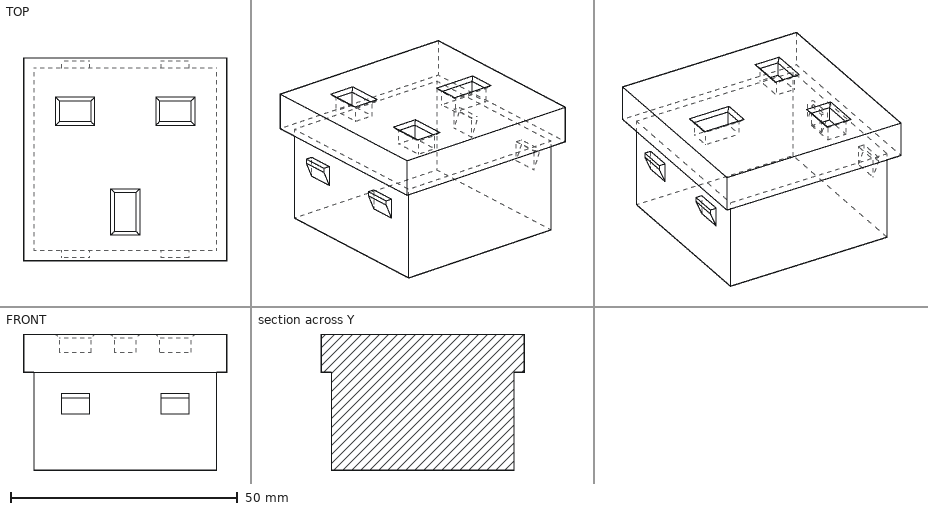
import cadquery as cq

overall_height = 30.0
plate_side = 44.8
plate_thickness = 8.4
body_side = 40.3
body_height = overall_height - plate_thickness

aperture_depth = 4.0
lead_in = 0.8
line_throat_length = 7.0
line_throat_width = 4.6
line_spacing = 22.1
line_y = 10.6
earth_throat_length = 8.6
earth_throat_width = 4.8
pin_row_spacing = 22.2
earth_y = line_y - pin_row_spacing

latch_width = 6.2
latch_spacing = 21.9
latch_projection = 1.5
latch_height = 4.6
latch_lip = 1.0
latch_top_z = 17.0


def make_housing():
    """Square body with the overhanging face plate on top."""
    body = cq.Workplane("XY").rect(body_side, body_side).extrude(body_height)
    plate = (
        cq.Workplane("XY")
        .workplane(offset=body_height)
        .rect(plate_side, plate_side)
        .extrude(plate_thickness)
    )
    return body.union(plate)


def make_aperture(center_x, center_y, size_x, size_y):
    """Blind rectangular pocket with a chamfered mouth, as a cutting solid."""
    throat = (
        cq.Workplane("XY", origin=(center_x, center_y, overall_height))
        .rect(size_x, size_y)
        .extrude(-aperture_depth)
    )
    mouth = (
        cq.Workplane("XY", origin=(center_x, center_y, overall_height))
        .rect(size_x + 2 * lead_in, size_y + 2 * lead_in)
        .workplane(offset=-lead_in)
        .rect(size_x, size_y)
        .loft(ruled=True)
    )
    return throat.union(mouth)


def make_latch(center_x, side):
    """Wedge with a flat top and short vertical lip; side is -1 or +1 along Y."""
    wall_y = side * body_side / 2
    tip_y = wall_y + side * latch_projection
    return (
        cq.Workplane("YZ", origin=(center_x, 0, 0))
        .moveTo(wall_y, latch_top_z)
        .lineTo(tip_y, latch_top_z)
        .lineTo(tip_y, latch_top_z - latch_lip)
        .lineTo(wall_y, latch_top_z - latch_height)
        .close()
        .extrude(latch_width / 2, both=True)
    )


result = make_housing()

for x in (-line_spacing / 2, line_spacing / 2):
    result = result.cut(make_aperture(x, line_y, line_throat_length, line_throat_width))
result = result.cut(make_aperture(0, earth_y, earth_throat_width, earth_throat_length))

for x in (-latch_spacing / 2, latch_spacing / 2):
    for wall_side in (-1, 1):
        result = result.union(make_latch(x, wall_side))